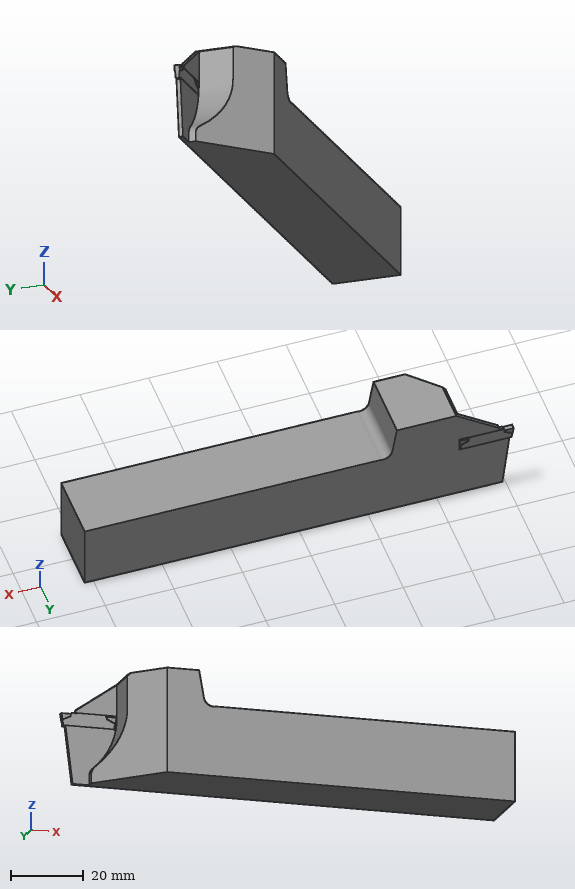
import cadquery as cq
import math


tool_length = 125.0
shank_width = 20.0
shank_height = 20.0
head_height = 30.0
head_rear_x = 34.0
head_rear_angle = 10.0
root_radius = 2.8
root_dip = 0.1
corner_cut_leg = 24.8

blade_thickness = 1.2
blade_side_y = shank_width - blade_thickness
blade_foot_x = 3.25
blade_front_angle = 7.0
nose_x = 4.2
nose_ramp_angle = 35.0
nose_ramp_end_x = 16.7

flank_wall_x = 16.0
flank_arc_radius = 20.0
flank_lip_x = 8.0
flank_lip_fillet = 3.0

insert_length = 15.8
insert_relief_angle = 10.0
insert_edge_z = shank_height
insert_top_z = 20.4
insert_bottom_z = 16.6
insert_waist_z = 17.0
vee_flank_angle = 30.0
vee_drop = blade_thickness / 2 * math.tan(math.radians(vee_flank_angle))
tip_width = 1.5
tip_length = 2.7
shoulder_x = 3.1
tip_front_depth = 1.8
tip_rear_depth = 0.7

relief_slope = math.tan(math.radians(insert_relief_angle))
waist_setback = (insert_edge_z - insert_waist_z) * relief_slope
tip_setback = tip_front_depth * relief_slope


def extrude_across(outline, y_start, y_end):
    """Extrude a closed XZ outline from y_start to y_end."""
    return outline.extrude(y_start - y_end).translate((0, y_start, 0))


def make_vee_bar():
    """Bar of insert length and blade thickness, grooved along its top and ridged along its bottom."""
    middle_y = shank_width - blade_thickness / 2
    section = [
        (blade_side_y, insert_bottom_z),
        (middle_y, insert_bottom_z - vee_drop),
        (shank_width, insert_bottom_z),
        (shank_width, insert_top_z),
        (middle_y, insert_top_z - vee_drop),
        (blade_side_y, insert_top_z),
    ]
    return cq.Workplane("YZ").polyline(section).close().extrude(insert_length)


def make_blank():
    """Side outline of blade, head and shank, extruded over the full width.

    The head's sloped back runs into a root arc that dips slightly below the shank's top face.
    """
    slope = math.radians(head_rear_angle)
    root_center_z = shank_height - root_dip + root_radius
    slope_foot_z = root_center_z - root_radius * math.sin(slope)
    slope_foot_x = head_rear_x + (head_height - slope_foot_z) * math.tan(slope)
    root_center_x = slope_foot_x + root_radius * math.cos(slope)
    root_end_x = root_center_x + math.sqrt(root_radius ** 2 - (root_radius - root_dip) ** 2)

    blade_front_x = blade_foot_x - insert_bottom_z * math.tan(math.radians(blade_front_angle))
    ramp_rise = (nose_ramp_end_x - nose_x) * math.tan(math.radians(nose_ramp_angle))
    outline = (
        cq.Workplane("XZ")
        .moveTo(blade_foot_x, 0)
        .lineTo(tool_length, 0)
        .lineTo(tool_length, shank_height)
        .lineTo(root_end_x, shank_height)
        .threePointArc((root_center_x, shank_height - root_dip), (slope_foot_x, slope_foot_z))
        .lineTo(head_rear_x, head_height)
        .lineTo(nose_ramp_end_x, head_height)
        .lineTo(nose_x, head_height - ramp_rise)
        .lineTo(nose_x, insert_bottom_z)
        .lineTo(blade_front_x, insert_bottom_z)
        .close()
    )
    return extrude_across(outline, 0, shank_width)


def make_corner_cut():
    """45 degree cut across the front corner opposite the blade."""
    triangle = [(0, 0), (corner_cut_leg, 0), (0, corner_cut_leg)]
    corner = cq.Workplane("XY").polyline(triangle).close().extrude(head_height)
    blade_zone = cq.Workplane("XY").box(tool_length, blade_thickness, head_height, centered=False)
    return corner.cut(blade_zone.translate((0, blade_side_y, 0)))


def make_flank_cut():
    """Space beside the blade, bounded by a wall that sweeps forward to a rounded lip."""
    arc_center_x = flank_wall_x - flank_arc_radius
    arc_center_z = shank_height

    def arc_drop(x):
        return math.sqrt(flank_arc_radius ** 2 - (x - arc_center_x) ** 2)

    arc_middle_x = (flank_wall_x + flank_lip_x) / 2
    lip_z = arc_center_z - arc_drop(flank_lip_x)
    outline = (
        cq.Workplane("XZ")
        .moveTo(0, 0)
        .lineTo(flank_lip_x, 0)
        .lineTo(flank_lip_x, lip_z)
        .threePointArc((arc_middle_x, arc_center_z - arc_drop(arc_middle_x)), (flank_wall_x, arc_center_z))
        .lineTo(flank_wall_x, head_height)
        .lineTo(0, head_height)
        .close()
    )
    space = extrude_across(outline, 0, blade_side_y)
    lip_point = (flank_lip_x, blade_side_y / 2, lip_z)
    return space.edges(cq.NearestToPointSelector(lip_point)).fillet(flank_lip_fillet)


def make_holder():
    """Holder with its insert seat, which is open at the front and on both sides of the blade."""
    holder = make_blank().cut(make_corner_cut()).cut(make_flank_cut())
    return holder.cut(make_vee_bar())


def make_tip():
    """Front cutting tip, a little wider than the insert body."""
    outline = cq.Workplane("XZ").polyline([
        (0, insert_edge_z),
        (tip_setback, insert_edge_z - tip_front_depth),
        (tip_length, insert_edge_z - tip_rear_depth),
        (tip_length, insert_edge_z),
    ]).close()
    overhang = (tip_width - blade_thickness) / 2
    return extrude_across(outline, blade_side_y - overhang, shank_width + overhang)


def make_insert():
    """Double-ended insert with relieved ends and a cutting tip at each end."""
    lowest_z = insert_bottom_z - vee_drop
    front_half = [
        (waist_setback, lowest_z),
        (waist_setback, insert_waist_z),
        (0, insert_edge_z),
        (tip_length, insert_edge_z),
        (shoulder_x, insert_top_z),
    ]
    rear_half = [(insert_length - x, z) for x, z in reversed(front_half)]
    outline = cq.Workplane("XZ").polyline(front_half + rear_half).close()
    body = extrude_across(outline, blade_side_y, shank_width).intersect(make_vee_bar())
    front_tip = make_tip()
    rear_tip = front_tip.mirror("YZ").translate((insert_length, 0, 0))
    return body.union(front_tip).union(rear_tip)


holder = make_holder()
insert = make_insert()

result = cq.Compound.makeCompound([holder.solids().val(), insert.solids().val()])